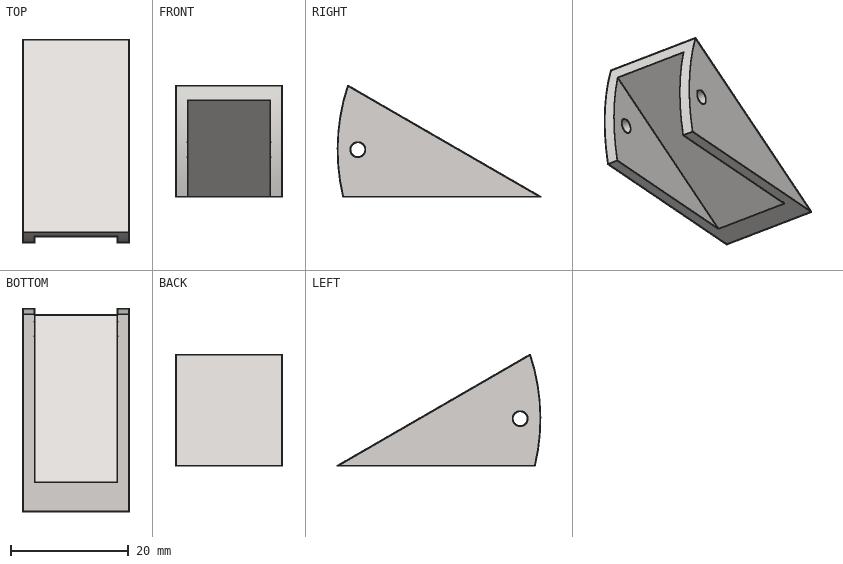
import cadquery as cq
import math

width = 18.0
slope_angle = math.radians(30.0)

front_axis_height = 8.0
front_radius = 34.45

side_wall = 2.0
roof_thickness = 2.5

hole_diameter = 2.5
hole_height = front_axis_height
hole_distance = 31.0

slope_length = front_axis_height * math.sin(slope_angle) + math.sqrt(
    front_radius**2 - (front_axis_height * math.cos(slope_angle)) ** 2
)
top_edge_y = -slope_length * math.cos(slope_angle)
top_edge_z = slope_length * math.sin(slope_angle)
bottom_edge_y = -math.sqrt(front_radius**2 - front_axis_height**2)


def make_wedge():
    """Solid wedge with a flat bottom, a sloped roof and a rounded front."""
    return (
        cq.Workplane("YZ")
        .moveTo(0, 0)
        .lineTo(top_edge_y, top_edge_z)
        .threePointArc((-front_radius, front_axis_height), (bottom_edge_y, 0))
        .close()
        .extrude(width / 2, both=True)
    )


def make_pocket():
    """Space between the side walls, open at the front and bottom, under an even roof."""
    back_y = -roof_thickness / math.sin(slope_angle)
    front_y = -2 * front_radius
    front_z = (back_y - front_y) * math.tan(slope_angle)
    return (
        cq.Workplane("YZ")
        .polyline([(back_y, 0), (front_y, front_z), (front_y, 0)])
        .close()
        .extrude(width / 2 - side_wall, both=True)
    )


def make_pivot_hole():
    """Round hole running across the full width."""
    return (
        cq.Workplane("YZ")
        .center(-hole_distance, hole_height)
        .circle(hole_diameter / 2)
        .extrude(width, both=True)
    )


result = make_wedge().cut(make_pocket()).cut(make_pivot_hole())